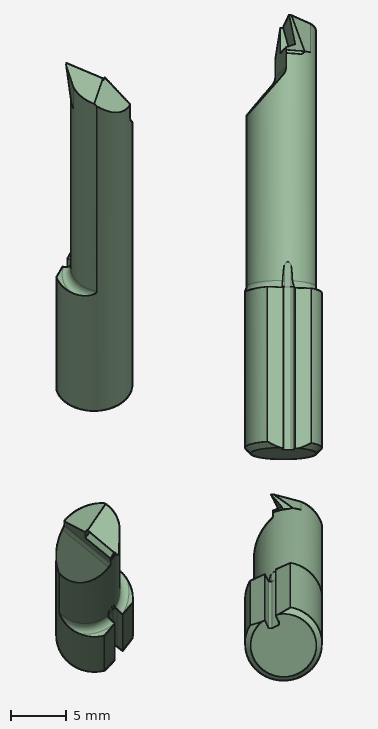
import cadquery as cq
import math

total_height = 40.0
shank_radius = 3.5
shank_height = 14.8
flat_x = -2.86
end_chamfer = 0.5

neck_radius = 3.15
neck_center_x = 1.1
neck_left_x = neck_center_x - neck_radius
shoulder_fillet = 0.8

groove_width = 1.1
groove_floor_x = -1.9
groove_corner_radius = 0.25
groove_straight_height = 15.05
groove_end_height = 17.3

half_cut_y = 0.1
half_cut_corner_z = 34.9
half_cut_angle = 40.0
half_cut_fillet = 1.2

head_base_z = 36.9
tip = cq.Vector(-2.7, 0, total_height)
top_slope_x = 0.13
top_slope_y = 0.11
back_slope_z = 40.45
flank_start = cq.Vector(-1.2, -2.1, head_base_z)
flank_end = cq.Vector(-2.4, -0.55, head_base_z)
relief_bottom = cq.Vector(-1.55, -1.65, head_base_z)
ramp_bottom_z = 36.55
ramp_top_x = -1.9
block_left_x = flat_x - 0.4
rake_end_x = 1.0
rake_bottom_x = -1.9
rake_bottom_y = -0.7
rake_bottom_z = 37.45
rake_exit_z = 37.1

clearance = 20.0


def cylinder(radius, center_x, bottom, top):
    return cq.Workplane().workplane(offset=bottom).center(center_x, 0).circle(radius).extrude(top - bottom)


def beyond_plane(point, normal):
    """Block filling the side of a plane that its normal points to."""
    plane = cq.Plane(origin=point.toTuple(), normal=normal.toTuple())
    return cq.Workplane(plane).rect(2 * clearance, 2 * clearance).extrude(clearance)


def slab(bottom, top):
    """Horizontal slab wider than the part."""
    return cq.Workplane().workplane(offset=bottom).rect(2 * clearance, 2 * clearance).extrude(top - bottom)


def make_shank():
    shank = cylinder(shank_radius, 0, 0, shank_height).faces("<Z").chamfer(end_chamfer)
    return shank.cut(beyond_plane(cq.Vector(flat_x, 0, 0), cq.Vector(-1, 0, 0)))


def make_neck():
    flare_offset = shoulder_fillet * (1 - math.sqrt(0.5))
    profile = (
        cq.Workplane("XZ", origin=(neck_center_x, 0, 0))
        .moveTo(0, shank_height)
        .lineTo(neck_radius + shoulder_fillet, shank_height)
        .threePointArc(
            (neck_radius + flare_offset, shank_height + flare_offset),
            (neck_radius, shank_height + shoulder_fillet),
        )
        .lineTo(neck_radius, total_height)
        .lineTo(0, total_height)
        .close()
    )
    return profile.revolve().intersect(cylinder(shank_radius, 0, shank_height, total_height))


def groove_cutter(start_z, direction, length):
    """Rounded-bottom groove cutter, starting on the groove floor."""
    plane = cq.Plane(origin=(groove_floor_x, 0, start_z), xDir=(0, 1, 0), normal=direction)
    cutter = cq.Workplane(plane).center(0, clearance / 2).rect(groove_width, clearance).extrude(length)
    along_groove = cq.selectors.ParallelDirSelector(cq.Vector(*direction))
    floor_corners = cutter.faces(">X").edges(along_groove)
    return floor_corners.fillet(groove_corner_radius)


def cut_groove(body):
    runout_height = groove_end_height - groove_straight_height
    runout_direction = (neck_left_x - groove_floor_x, 0, runout_height)
    body = body.cut(groove_cutter(0, (0, 0, 1), groove_straight_height))
    return body.cut(groove_cutter(groove_straight_height, runout_direction, runout_height))


def add_tip_block(body):
    """Vertical block carrying the tip outside the neck."""
    outline = [(block_left_x, half_cut_y), (block_left_x, flank_start.y), (0, flank_start.y), (0, half_cut_y)]
    block = cq.Workplane().workplane(offset=head_base_z).polyline(outline).close()
    return body.union(block.extrude(total_height - head_base_z))


def grind_head_sides(body):
    along_flank = flank_end - flank_start
    flank_normal = cq.Vector(-along_flank.y, along_flank.x, 0)
    flank = beyond_plane(flank_start, flank_normal)
    rake_corner = cq.Vector(rake_bottom_x, rake_bottom_y, rake_bottom_z)
    relief_normal = (rake_corner - tip).cross(relief_bottom - tip)
    relief = beyond_plane(tip, relief_normal)
    body = body.cut(flank.intersect(slab(head_base_z, total_height)))
    return body.cut(relief.intersect(slab(head_base_z, total_height)))


def cut_ramp(body):
    """Small ramp that runs the relief out into the neck below the tip."""
    ramp_top = cq.Vector(ramp_top_x, 0, head_base_z)
    ramp_bottom = cq.Vector(neck_left_x, 0, ramp_bottom_z)
    ramp_normal = (relief_bottom - ramp_bottom).cross(ramp_top - ramp_bottom)
    ramp = beyond_plane(ramp_bottom, ramp_normal)
    return body.cut(ramp.intersect(slab(ramp_bottom_z, head_base_z)))


def grind_top(body):
    body = body.cut(beyond_plane(tip, cq.Vector(top_slope_x, -top_slope_y, 1)))
    return body.cut(beyond_plane(cq.Vector(0, 0, back_slope_z), cq.Vector(1, 0, 1)))


def cut_half(body):
    drop = clearance / math.tan(math.radians(half_cut_angle))
    outline = [
        (half_cut_y, total_height + clearance),
        (half_cut_y, half_cut_corner_z),
        (half_cut_y + clearance, half_cut_corner_z - drop),
        (half_cut_y + clearance, total_height + clearance),
    ]
    cutter = cq.Workplane("YZ").polyline(outline).close().extrude(clearance, both=True)
    corner = cq.selectors.NearestToPointSelector((0, half_cut_y, half_cut_corner_z))
    return body.cut(cutter.edges("|X").edges(corner).fillet(half_cut_fillet))


def cut_rake(body):
    outline = [
        (tip.y, total_height),
        (rake_bottom_y, rake_bottom_z),
        (half_cut_y, rake_exit_z),
        (half_cut_y, total_height),
    ]
    cutter = cq.Workplane("YZ", origin=(rake_end_x, 0, 0)).polyline(outline).close().extrude(-clearance)
    return body.cut(cutter)


result = make_shank().union(make_neck())
result = cut_groove(result)
result = add_tip_block(result)
result = grind_head_sides(result)
result = cut_ramp(result)
result = grind_top(result)
result = cut_half(result)
result = cut_rake(result)